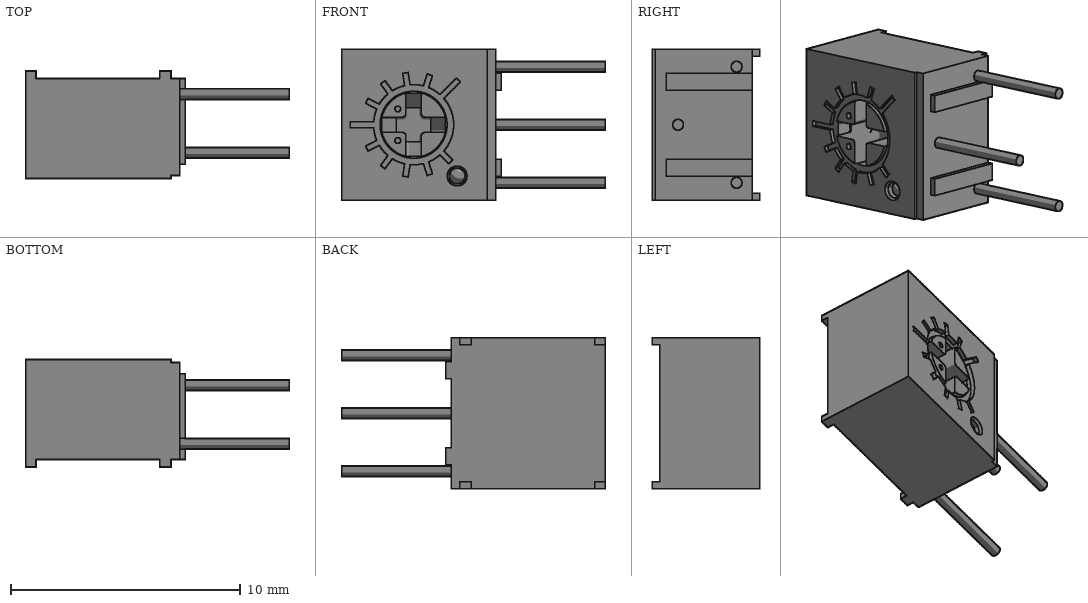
import cadquery as cq
import math

body_length = 6.73
body_height = 6.6
body_back = 4.37
total_depth = 4.7

step_start = 6.35
step_depth = 0.13

foot_height = 0.31
left_foot_length = 0.46
right_foot_start = 5.85

rail_thickness = 0.24
rail_front = 0.62
rail_height = 0.75
rail_spacing = 3.75

lead_tip = 11.51
lead_diameter = 0.47
lead_pitch = 2.53
outer_lead_y = 3.68
middle_lead_y = 1.13

dial_x = 3.14
dial_z = body_height / 2
dial_radius = 1.75
dial_depth = 0.2
mark_width = 0.24
mark_count = 11
mark_first_angle = 45.0
mark_angle_step = 27.0
short_mark_reach = 2.29
long_mark_reach = 2.76
long_marks = (0, 5)

rotor_front = 0.03
rotor_face_radius = 1.43
rotor_radius = 1.46
rotor_back = 2.07
dimple_offset = 0.69
dimple_radius = 0.13
dimple_depth = 0.23

slot_width = 0.67
slot_depth = 1.6
slot_corner_radius = 0.16
slot_floor_radius = 0.14
ramp_start = 0.75
ramp_end = 1.38
ledge_depth = slot_depth - (ramp_end - ramp_start)

ball_x = 5.04
ball_z = 1.06
ball_radius = 0.35
ball_front = 0.17
ball_back = ball_front + 2 * ball_radius
countersink_diameter = 0.86
countersink_depth = 0.12


def box(x0, x1, y0, y1, z0, z1):
    """Box between two opposite corners."""
    return cq.Workplane("XY").box(x1 - x0, y1 - y0, z1 - z0, centered=False).translate((x0, y0, z0))


def frustum(x, z, front_radius, back_radius, y0, y1):
    """Cone along Y that changes from one radius to the other."""
    cone = cq.Solid.makeCone(front_radius, back_radius, y1 - y0, cq.Vector(x, y0, z), cq.Vector(0, 1, 0))
    return cq.Workplane(obj=cone)


def disc(x, z, radius, y0, y1):
    """Cylinder along Y."""
    return cq.Workplane("XZ", origin=(x, y0, z)).circle(radius).extrude(y0 - y1)


def turn_about_y(shape, angle):
    """Turn about the Y axis; a positive angle carries +X towards +Z."""
    return shape.rotate((0, 0, 0), (0, 1, 0), -angle)


def make_feet():
    """Four small feet at the corners of the back face."""
    feet = cq.Workplane("XY")
    for x0, x1 in ((0, left_foot_length), (right_foot_start, step_start)):
        for z0 in (0, body_height - foot_height):
            feet = feet.add(box(x0, x1, body_back, total_depth, z0, z0 + foot_height))
    return feet


def make_rails():
    """Two standoff rails on the right face."""
    rails = cq.Workplane("XY")
    for side in (-1, 1):
        z0 = (body_height + side * rail_spacing - rail_height) / 2
        z1 = z0 + rail_height
        rails = rails.add(box(body_length, body_length + rail_thickness, rail_front, body_back, z0, z1))
    return rails


def make_leads():
    """Three round leads that stick out of the right face."""
    leads = cq.Workplane("XY")
    for row, y in ((-1, outer_lead_y), (0, middle_lead_y), (1, outer_lead_y)):
        plane = cq.Workplane("YZ", origin=(body_length, y, body_height / 2 + row * lead_pitch))
        leads = leads.add(plane.circle(lead_diameter / 2).extrude(lead_tip - body_length))
    return leads


def make_dial():
    """Round recess with radial marks, two of them long."""
    dial = disc(0, 0, dial_radius, 0, dial_depth)
    for i in range(mark_count):
        reach = long_mark_reach if i in long_marks else short_mark_reach
        mark = box(0, reach, 0, dial_depth, -mark_width / 2, mark_width / 2)
        dial = dial.union(turn_about_y(mark, mark_first_angle + i * mark_angle_step))
    return dial.translate((dial_x, 0, dial_z))


def make_ball_hole():
    """Round hole that holds the ball, countersunk at the front face."""
    hole = disc(ball_x, ball_z, ball_radius, 0, ball_back)
    return hole.union(frustum(ball_x, ball_z, countersink_diameter / 2, ball_radius, 0, countersink_depth))


def make_housing():
    housing = box(0, body_length, 0, body_back, 0, body_height)
    housing = housing.cut(box(step_start, body_length, 0, step_depth, 0, body_height))
    for group in (make_feet(), make_rails(), make_leads()):
        for piece in group.vals():
            housing = housing.union(cq.Workplane(obj=piece))
    housing = housing.cut(make_dial())
    housing = housing.cut(disc(dial_x, dial_z, rotor_radius, dial_depth, rotor_back))
    return housing.cut(make_ball_hole())


def slot_section(x, depth):
    """Outline across the +X slot arm: straight sides, and a floor with rounded corners."""
    half = slot_width / 2
    flat_half = half - slot_floor_radius
    corner_top = depth - slot_floor_radius
    inset = slot_floor_radius * (1 - math.sqrt(0.5))
    section = cq.Workplane("YZ", origin=(x, 0, 0)).moveTo(0, -half).lineTo(corner_top, -half)
    section = section.threePointArc((depth - inset, inset - half), (depth, -flat_half))
    section = section.lineTo(depth, flat_half)
    section = section.threePointArc((depth - inset, half - inset), (corner_top, half))
    return section.lineTo(0, half).close().val()


def make_slot_arm_end():
    """Outer part of the +X slot arm: the ramp, then the ledge that opens through the rim."""
    stations = ((ramp_start, slot_depth), (ramp_end, ledge_depth), (rotor_radius, ledge_depth))
    sections = [slot_section(x, depth) for x, depth in stations]
    return cq.Workplane(obj=cq.Solid.makeLoft(sections, True))


def make_cross_slot():
    """Cross with rounded inner corners and a rounded floor edge, extended by the four arm ends."""
    half = slot_width / 2
    reach = ramp_start
    untrimmed = reach + slot_floor_radius
    cross = box(-untrimmed, untrimmed, 0, slot_depth, -half, half)
    cross = cross.union(box(-half, half, 0, slot_depth, -untrimmed, untrimmed))
    near_axis = cq.selectors.BoxSelector((-reach, 0, -reach), (reach, slot_depth, reach))
    cross = cross.edges("|Y").edges(near_axis).fillet(slot_corner_radius)
    cross = cross.faces(">Y").edges().fillet(slot_floor_radius)
    cross = cross.intersect(box(-reach, reach, 0, slot_depth, -reach, reach))

    arm_end = make_slot_arm_end()
    for angle in (0, 90, 180, 270):
        cross = cross.union(turn_about_y(arm_end, angle))
    return cross


def make_rotor():
    """Round rotor whose tapered head stands up from the dial recess."""
    rotor = frustum(0, 0, rotor_face_radius, rotor_radius, rotor_front, dial_depth)
    rotor = rotor.union(disc(0, 0, rotor_radius, dial_depth, rotor_back))
    rotor = rotor.cut(make_cross_slot())
    for side in (-1, 1):
        dimple = disc(-dimple_offset, side * dimple_offset, dimple_radius, 0, rotor_front + dimple_depth)
        rotor = rotor.cut(dimple)
    return rotor.translate((dial_x, 0, dial_z))


def make_ball():
    return cq.Workplane("XY").sphere(ball_radius).translate((ball_x, ball_front + ball_radius, ball_z))


housing = make_housing()
rotor = make_rotor()
ball = make_ball()

result = cq.Compound.makeCompound([housing.val(), rotor.val(), ball.val()])